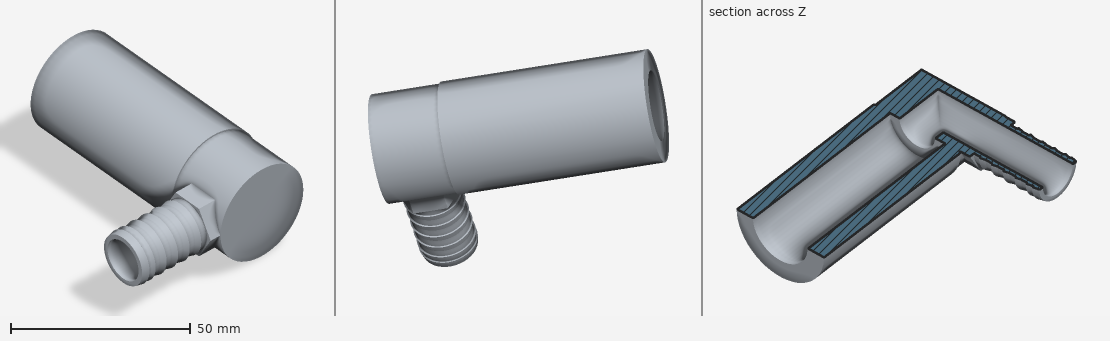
import cadquery as cq
import math

sleeve_diameter = 32.0
sleeve_length = 59.0
housing_diameter = 31.0
housing_length = 20.0
socket_diameter = 20.0
socket_depth = sleeve_length

nipple_x = sleeve_length + housing_length / 2
nipple_reach = 43.0
stem_length = 24.0
stem_diameter = 16.0
barb_diameter = 17.0
hex_reach = nipple_reach - stem_length
hex_sides = 6
hex_across_flats = 17.0
hex_across_corners = hex_across_flats / math.cos(math.pi / hex_sides)

barb_pitch = 4.33
barb_land = 2.33
barb_taper = barb_pitch - barb_land
spaced_barb_count = 4
tip_barb_length = 2.3
tip_barb_count = 2

bore_diameter = 13.0


def make_body():
    """Sleeve and housing, end to end along X."""
    sleeve = cq.Workplane("YZ").circle(sleeve_diameter / 2).extrude(sleeve_length)
    housing = (
        cq.Workplane("YZ")
        .workplane(offset=sleeve_length)
        .circle(housing_diameter / 2)
        .extrude(housing_length)
    )
    return sleeve.union(housing)


def make_hex():
    """Hexagon running from the housing axis outward, with corners along X."""
    return (
        cq.Workplane("XZ")
        .center(nipple_x, 0)
        .polygon(hex_sides, hex_across_corners)
        .extrude(hex_reach)
    )


def make_barb(start, length):
    """Collar widest at start, tapering outward down to the stem."""
    return cq.Workplane(
        cq.Solid.makeCone(
            barb_diameter / 2,
            stem_diameter / 2,
            length,
            pnt=cq.Vector(nipple_x, -start, 0),
            dir=cq.Vector(0, -1, 0),
        )
    )


def make_stem():
    """Round stem from the hexagon outward, with all its barbs."""
    stem = (
        cq.Workplane("XZ")
        .workplane(offset=hex_reach)
        .center(nipple_x, 0)
        .circle(stem_diameter / 2)
        .extrude(stem_length)
    )
    for index in range(spaced_barb_count):
        start = hex_reach + barb_land + index * barb_pitch
        stem = stem.union(make_barb(start, barb_taper))
    for index in range(tip_barb_count):
        start = nipple_reach - (index + 1) * tip_barb_length
        stem = stem.union(make_barb(start, tip_barb_length))
    return stem


def make_passage():
    """Socket in the sleeve, then a mitred elbow bore out through the nipple."""
    socket = cq.Workplane("YZ").circle(socket_diameter / 2).extrude(socket_depth)
    path = cq.Workplane("XY").polyline([(0, 0), (nipple_x, 0), (nipple_x, -nipple_reach)])
    elbow = cq.Workplane("YZ").circle(bore_diameter / 2).sweep(path, transition="right")
    return socket.union(elbow)


result = make_body().union(make_hex()).union(make_stem()).cut(make_passage())